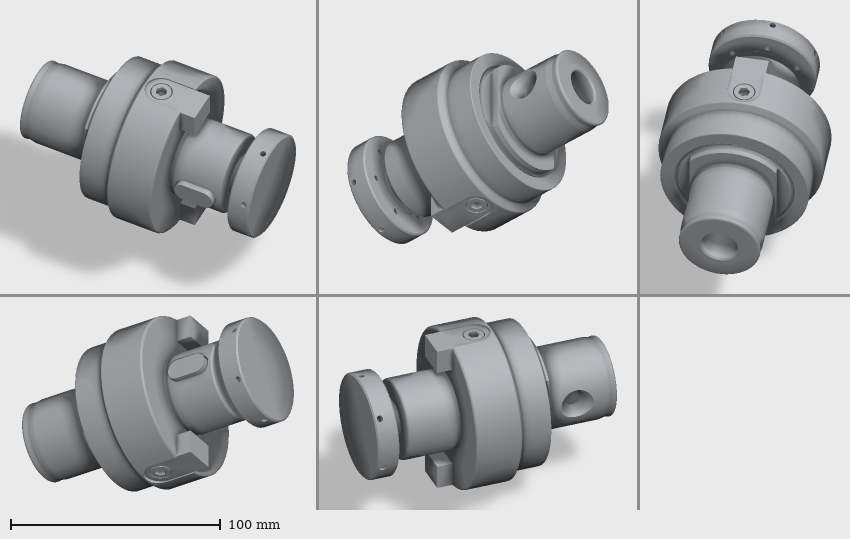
import cadquery as cq
import math

total_length = 125.0
shaft_radius = 20.0

journal_fillet = 1.2
journal_end_radius = 19.8
groove_radius = 19.4
groove_start = 3.2
groove_end = 3.6
journal_start = 7.0
journal_end = 33.4
undercut_radius = 19.8
undercut_fillet = 1.0

flange_start = 35.6
flange_chamfer_start = 38.2
flange_neck_start = 39.0
flange_neck_end = 39.8
flange_radius = 27.5
flange_neck_radius = 27.2
flats_across = 41.9
seat_radius = 28.4
seat_end = 53.8

ring_rear = 80.0
pilot_relief_end = 81.0
pilot_relief_fillet = 0.4
pilot_start = 82.5
pilot_end = 107.1
pilot_fillet = 1.1

bore_radius = 8.6
bore_chamfer = 0.8
bore_depth = 50.0
recess_x = 20.8
recess_mouth_radius = 8.2
recess_half_angle = 30.0
recess_depth = 7.5

ring_front = 40.1
collar_radius = 36.0
collar_edge_fillet = 0.5
cone_start = 54.9
cone_angle = 60.0
cone_fillet = 0.9
ring_radius = 40.0
ring_rear_fillet = 1.1
ring_mouth_chamfer = 1.1

dog_width = 16.0
dog_screw_x = 66.0
dog_end = 87.8
dog_bottom = 26.5
dog_top = 38.5
dog_angles = (0, 180)
counterbore_radius = 5.4
screw_head_radius = 4.9
screw_head_height = 6.0
screw_shank_radius = 3.0
screw_tip = 22.0
socket_sides = 6
socket_flats = 5.0
socket_depth = 3.0
socket_point_angle = 30.0
socket_turn = -12.0

key_center_x = 94.1
key_length = 20.2
key_width = 10.1
key_top = 22.4
key_bottom = 14.9
keyway_length = 21.8

stem_radius = 10.0
stem_start = 87.5
stem_fillet = 0.6
boss_radius = 15.0
boss_height = 0.1
disc_front = 113.9
disc_radius = 26.1
disc_chamfer = 0.8
coolant_count = 6
coolant_first_angle = 38.0
coolant_radius = 1.5
coolant_circle_radius = 18.2
coolant_radial_x = 122.0


def turned(profile):
    """Revolve a closed (x, radius) profile about the X axis."""
    return profile.close().revolve(360, (0, 0, 0), (1, 0, 0))


def rod(start, end, radius):
    """Plain cylinder along the X axis."""
    return cq.Workplane("YZ", origin=(start, 0, 0)).circle(radius).extrude(end - start)


def upright(x, bottom, top, radius):
    """Plain cylinder pointing along +Z."""
    return cq.Workplane("XY", origin=(x, 0, bottom)).circle(radius).extrude(top - bottom)


def turned_about_axis(body, angle):
    return body.rotate((0, 0, 0), (1, 0, 0), angle)


def round_ended_bar(length):
    """Bar with full-round ends that stands on the -Y side of the pilot."""
    plane = cq.Workplane("XZ", origin=(key_center_x, -key_bottom, 0))
    return plane.slot2D(length, key_width).extrude(key_top - key_bottom)


def make_feather_key():
    return round_ended_bar(key_length)


def arbor_blank():
    seat_fillet = seat_radius - flange_neck_radius
    profile = (
        cq.Workplane("XY")
        .moveTo(0, 0)
        .lineTo(0, journal_end_radius - journal_fillet)
        .radiusArc((journal_fillet, journal_end_radius), journal_fillet)
        .lineTo(groove_start, groove_radius)
        .lineTo(groove_end, groove_radius)
        .lineTo(journal_start, shaft_radius)
        .lineTo(journal_end, shaft_radius)
        .lineTo(flange_start - undercut_fillet, undercut_radius)
        .radiusArc((flange_start, undercut_radius + undercut_fillet), -undercut_fillet)
        .lineTo(flange_start, flange_radius)
        .lineTo(flange_chamfer_start, flange_radius)
        .lineTo(flange_neck_start, flange_neck_radius)
        .lineTo(flange_neck_end, flange_neck_radius)
        .radiusArc((flange_neck_end + seat_fillet, seat_radius), -seat_fillet)
        .lineTo(seat_end, seat_radius)
        .lineTo(seat_end, shaft_radius)
        .lineTo(ring_rear, shaft_radius)
        .lineTo(ring_rear, groove_radius + pilot_relief_fillet)
        .radiusArc((ring_rear + pilot_relief_fillet, groove_radius), -pilot_relief_fillet)
        .lineTo(pilot_relief_end, groove_radius)
        .lineTo(pilot_start, shaft_radius)
        .lineTo(pilot_end - pilot_fillet, shaft_radius)
        .radiusArc((pilot_end, shaft_radius - pilot_fillet), pilot_fillet)
        .lineTo(pilot_end, 0)
    )
    return turned(profile)


def wrench_flat_cutter():
    """Stock outside the two flats, on the +Y and -Y sides of the flange."""
    width = flange_neck_end - flange_start
    stock = rod(flange_start, flange_neck_end, ring_radius)
    core = (
        cq.Workplane("XY", origin=(flange_start, 0, 0))
        .box(width, flats_across, 2 * ring_radius, centered=(False, True, True))
    )
    return stock.cut(core)


def arbor_bore():
    profile = (
        cq.Workplane("XY")
        .moveTo(0, 0)
        .lineTo(0, bore_radius + bore_chamfer)
        .lineTo(bore_chamfer, bore_radius)
        .lineTo(bore_depth, bore_radius)
        .lineTo(bore_depth, 0)
    )
    return turned(profile)


def clamping_recess():
    """Flat-bottomed cone sunk into the +Y side, widened outward past the shaft surface."""
    slope = math.tan(math.radians(recess_half_angle))
    outer_y = shaft_radius + recess_mouth_radius
    inner_y = shaft_radius - recess_depth
    profile = (
        cq.Workplane("XY", origin=(recess_x, 0, 0))
        .moveTo(0, inner_y)
        .lineTo(recess_mouth_radius - recess_depth * slope, inner_y)
        .lineTo(recess_mouth_radius + recess_mouth_radius * slope, outer_y)
        .lineTo(0, outer_y)
        .close()
    )
    return profile.revolve(360, (0, 0, 0), (0, 1, 0))


def make_arbor():
    arbor = arbor_blank().cut(wrench_flat_cutter()).cut(arbor_bore()).cut(clamping_recess())
    arbor = arbor.cut(round_ended_bar(keyway_length))
    return arbor.cut(rod(stem_start, pilot_end, stem_radius))


def dog_block(top):
    """Block with a full-round front end, from the pocket floor up to the given height."""
    half_width = dog_width / 2
    return (
        cq.Workplane("XY", origin=(0, 0, dog_bottom))
        .moveTo(dog_screw_x, half_width)
        .threePointArc((dog_screw_x - half_width, 0), (dog_screw_x, -half_width))
        .lineTo(dog_end, -half_width)
        .lineTo(dog_end, half_width)
        .close()
        .extrude(top - dog_bottom)
    )


def screw_shank():
    return upright(dog_screw_x, screw_tip, dog_top - screw_head_height, screw_shank_radius)


def hex_socket():
    """Hexagonal socket with a conical drilled bottom."""
    corner_radius = socket_flats / (2 * math.cos(math.pi / socket_sides))
    point_depth = corner_radius * math.tan(math.radians(socket_point_angle))
    depth = socket_depth + point_depth
    prism = (
        cq.Workplane("XY", origin=(0, 0, -depth))
        .polygon(socket_sides, 2 * corner_radius)
        .extrude(depth)
        .rotate((0, 0, 0), (0, 0, 1), socket_turn)
    )
    drilled = (
        cq.Workplane("XZ")
        .polyline([(0, 0), (corner_radius, 0), (corner_radius, -socket_depth), (0, -depth)])
        .close()
        .revolve(360, (0, 0, 0), (0, 1, 0))
    )
    return prism.intersect(drilled).translate((dog_screw_x, 0, dog_top))


def make_dog():
    head_seat = dog_top - screw_head_height
    counterbore = upright(dog_screw_x, head_seat, dog_top, counterbore_radius)
    return dog_block(dog_top).cut(counterbore).cut(screw_shank())


def make_dog_screw():
    head = upright(dog_screw_x, dog_top - screw_head_height, dog_top, screw_head_radius)
    return head.union(screw_shank()).cut(hex_socket())


def ring_blank():
    """Turned outside of the ring, with the fillets where collar, cone and rim meet."""
    angle = math.radians(cone_angle)
    cone_end = cone_start + (ring_radius - collar_radius) / math.tan(angle)
    tangent = cone_fillet * math.tan(angle / 2)
    along = tangent * math.cos(angle)
    outward = tangent * math.sin(angle)
    profile = (
        cq.Workplane("XY")
        .moveTo(ring_front, 0)
        .lineTo(ring_front, collar_radius - collar_edge_fillet)
        .radiusArc((ring_front + collar_edge_fillet, collar_radius), collar_edge_fillet)
        .lineTo(cone_start - tangent, collar_radius)
        .radiusArc((cone_start + along, collar_radius + outward), -cone_fillet)
        .lineTo(cone_end - along, ring_radius - outward)
        .radiusArc((cone_end + tangent, ring_radius), cone_fillet)
        .lineTo(ring_rear - ring_rear_fillet, ring_radius)
        .radiusArc((ring_rear, ring_radius - ring_rear_fillet), ring_rear_fillet)
        .lineTo(ring_rear, 0)
    )
    return turned(profile)


def ring_bore():
    """Chamfered seat bore at the front, smaller pilot bore through the rear."""
    profile = (
        cq.Workplane("XY")
        .moveTo(ring_front, 0)
        .lineTo(ring_front, seat_radius + ring_mouth_chamfer)
        .lineTo(ring_front + ring_mouth_chamfer, seat_radius)
        .lineTo(seat_end, seat_radius)
        .lineTo(seat_end, shaft_radius)
        .lineTo(ring_rear, shaft_radius)
        .lineTo(ring_rear, 0)
    )
    return turned(profile)


def make_drive_ring():
    ring = ring_blank().cut(ring_bore())
    pocket = dog_block(ring_radius).union(screw_shank())
    for angle in dog_angles:
        ring = ring.cut(turned_about_axis(pocket, angle))
    return ring


def retaining_screw_blank():
    boss_face = disc_front - boss_height
    profile = (
        cq.Workplane("XY")
        .moveTo(stem_start, 0)
        .lineTo(stem_start, stem_radius)
        .lineTo(boss_face - stem_fillet, stem_radius)
        .radiusArc((boss_face, stem_radius + stem_fillet), -stem_fillet)
        .lineTo(boss_face, boss_radius)
        .lineTo(disc_front, boss_radius)
        .lineTo(disc_front, disc_radius - disc_chamfer)
        .lineTo(disc_front + disc_chamfer, disc_radius)
        .lineTo(total_length - disc_chamfer, disc_radius)
        .lineTo(total_length, disc_radius - disc_chamfer)
        .lineTo(total_length, 0)
    )
    return turned(profile)


def coolant_channel():
    """Axial hole from the disc face that meets a radial hole from the rim, on the +Y side."""
    axial = rod(disc_front, coolant_radial_x, coolant_radius).translate((0, coolant_circle_radius, 0))
    radial = (
        cq.Workplane("XZ", origin=(coolant_radial_x, coolant_circle_radius, 0))
        .circle(coolant_radius)
        .extrude(coolant_circle_radius - disc_radius)
    )
    return axial.union(radial)


def make_retaining_screw():
    screw = retaining_screw_blank()
    channel = coolant_channel()
    for index in range(coolant_count):
        angle = coolant_first_angle + index * 360 / coolant_count
        screw = screw.cut(turned_about_axis(channel, angle))
    return screw


arbor = make_arbor()
drive_ring = make_drive_ring()
feather_key = make_feather_key()
retaining_screw = make_retaining_screw()
dogs = [turned_about_axis(make_dog(), angle) for angle in dog_angles]
dog_screws = [turned_about_axis(make_dog_screw(), angle) for angle in dog_angles]

result = cq.Compound.makeCompound([
    arbor.val(),
    drive_ring.val(),
    feather_key.val(),
    retaining_screw.val(),
    *[dog.val() for dog in dogs],
    *[screw.val() for screw in dog_screws],
])